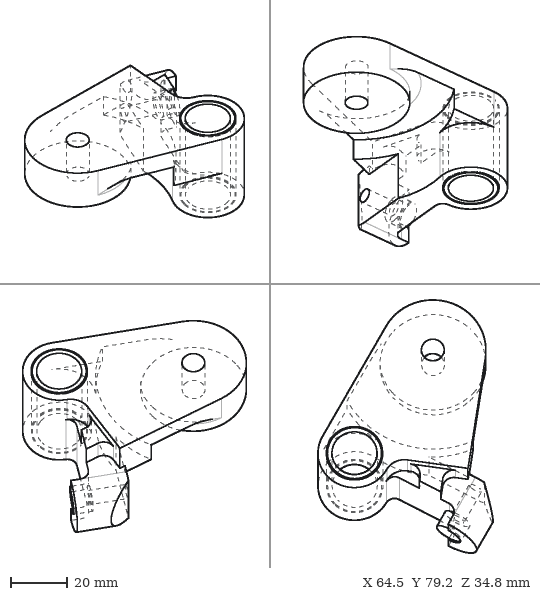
import cadquery as cq
import math

total_height = 34.8
plate_thickness = 15.45
plate_bottom = total_height - plate_thickness

hub_radius = 13.0
bushing_outer_radius = 10.0
bushing_inner_radius = 8.0
bushing_chamfer = 0.4
boss_radius = 18.85
boss_hole_radius = 4.0
boss_x = hub_radius - boss_radius
boss_y = -47.4

boss_distance = math.hypot(boss_x, boss_y)
hollow_radius = boss_distance - hub_radius

corner_x = -38.1
corner_y = -14.2
recess_ceiling = 27.7
boss_flare_radius = 3.95

lug_start = 8.5
lug_end = 16.6
lug_fillet = 3.95
lug_top = 31.0

head_radius = 11.6
head_x = -39.9
head_back_y = 3.95
arm_back_y = -3.0
lever_front_y = -16.15
head_chamfer = 7.9
arm_fillet = 3.4

plug_radius = 5.0
plug_back_y = 3.3
plug_hole_radius = 2.5

corner_to_boss = math.hypot(boss_x - corner_x, boss_y - corner_y)
edge_angle = (math.atan2(boss_y - corner_y, boss_x - corner_x)
              - math.asin(boss_radius / corner_to_boss))
left_dir = (math.cos(edge_angle), math.sin(edge_angle))
upper_dir = (-left_dir[1], left_dir[0])


def plate_point(along, outward):
    """Point given by distances along and outward from the upper plate edge."""
    return (
        corner_x + along * upper_dir[0] - outward * left_dir[0],
        corner_y + along * upper_dir[1] - outward * left_dir[1],
    )


def arc_point(center, radius, angle):
    return (center[0] + radius * math.cos(angle), center[1] + radius * math.sin(angle))


def make_plate():
    """Plate from hub to boss, with a concave blend between hub and upper edge."""
    left_edge_length = math.sqrt(corner_to_boss ** 2 - boss_radius ** 2)
    boss_tangent = plate_point(0, -left_edge_length)
    blend_radius = ((hub_radius + corner_x) * left_dir[0] + corner_y * left_dir[1]) / (1 - left_dir[0])
    blend_center = (-hub_radius - blend_radius, 0)
    blend_start = arc_point(blend_center, blend_radius, edge_angle)
    blend_middle = arc_point(blend_center, blend_radius, edge_angle / 2)
    return (
        cq.Workplane("XY", origin=(0, 0, plate_bottom))
        .moveTo(corner_x, corner_y)
        .lineTo(*blend_start)
        .threePointArc(blend_middle, (-hub_radius, 0))
        .threePointArc((0, hub_radius), (hub_radius, 0))
        .lineTo(hub_radius, boss_y)
        .threePointArc((boss_x, boss_y - boss_radius), boss_tangent)
        .close()
        .extrude(plate_thickness)
    )


def make_recess():
    """Ring-shaped space under the plate, out to the hollow, leaving the boss with a flared root."""
    flare_edge = boss_radius + boss_flare_radius
    flare_start = recess_ceiling - boss_flare_radius
    flare_offset = boss_flare_radius * (1 - math.sqrt(0.5))
    return (
        cq.Workplane("XZ")
        .moveTo(boss_radius, 0)
        .lineTo(boss_radius, flare_start)
        .threePointArc((boss_radius + flare_offset, recess_ceiling - flare_offset),
                       (flare_edge, recess_ceiling))
        .lineTo(hollow_radius, recess_ceiling)
        .lineTo(hollow_radius, 0)
        .close()
        .revolve(360, (0, 0), (0, 1))
        .translate((boss_x, boss_y, 0))
    )


def make_lug():
    """Lug square to the upper plate edge, filleted into it and flush with the arm back."""
    reach = corner_to_boss
    diagonal = lug_fillet * (1 - math.sqrt(0.5))
    lug = (
        cq.Workplane("XY")
        .moveTo(*plate_point(lug_start - lug_fillet, 0))
        .threePointArc(plate_point(lug_start - diagonal, diagonal), plate_point(lug_start, lug_fillet))
        .lineTo(*plate_point(lug_start, reach))
        .lineTo(*plate_point(lug_end, reach))
        .lineTo(*plate_point(lug_end, lug_fillet))
        .threePointArc(plate_point(lug_end + diagonal, diagonal), plate_point(lug_end + lug_fillet, 0))
        .lineTo(*plate_point(lug_end + lug_fillet, -lug_fillet))
        .lineTo(*plate_point(lug_start - lug_fillet, -lug_fillet))
        .close()
        .extrude(lug_top)
    )
    behind_arm = (
        cq.Workplane("XY")
        .box(2 * reach, 2 * reach, lug_top, centered=(True, False, False))
        .translate((corner_x, arm_back_y, 0))
    )
    bottom = cq.Workplane("XY").box(4 * reach, 4 * reach, 2 * plate_bottom)
    return lug.cut(behind_arm).cut(bottom)


def make_lever():
    """Arm and head; the front hollows along a circle about the boss that touches the hub."""
    touch_point = (boss_x * hub_radius / boss_distance, boss_y * hub_radius / boss_distance)
    hollow_x = boss_x - math.sqrt(hollow_radius ** 2 - (lever_front_y - boss_y) ** 2)
    start_angle = math.atan2(lever_front_y - boss_y, hollow_x - boss_x)
    end_angle = math.atan2(-boss_y, -boss_x)
    hollow_middle = arc_point((boss_x, boss_y), hollow_radius, (start_angle + end_angle) / 2)

    fillet_y = arm_back_y + arm_fillet
    fillet_x = -math.sqrt((hub_radius + arm_fillet) ** 2 - fillet_y ** 2)
    hub_angle = math.atan2(-fillet_y, -fillet_x)
    hub_tangent = arc_point((fillet_x, fillet_y), arm_fillet, hub_angle)
    fillet_middle = arc_point((fillet_x, fillet_y), arm_fillet, (hub_angle - math.pi / 2) / 2)

    head_left = head_x - head_radius
    corner_offset = arm_fillet * (1 - math.sqrt(0.5))
    outline = (
        cq.Workplane("XY")
        .moveTo(head_left, head_back_y)
        .lineTo(head_left, lever_front_y + head_chamfer)
        .lineTo(head_left + head_chamfer, lever_front_y)
        .lineTo(hollow_x, lever_front_y)
        .threePointArc(hollow_middle, touch_point)
        .lineTo(0, 0)
        .lineTo(*hub_tangent)
        .threePointArc(fillet_middle, (fillet_x, arm_back_y))
        .lineTo(head_x + arm_fillet, arm_back_y)
        .threePointArc((head_x + corner_offset, arm_back_y + corner_offset),
                       (head_x, arm_back_y + arm_fillet))
        .lineTo(head_x, head_back_y)
        .close()
        .extrude(2 * head_radius)
    )
    side_profile = (
        cq.Workplane("XZ", origin=(0, head_back_y, 0))
        .moveTo(0, 0)
        .lineTo(head_x, 0)
        .threePointArc((head_left, head_radius), (head_x, 2 * head_radius))
        .lineTo(0, 2 * head_radius)
        .close()
        .extrude(head_back_y - lever_front_y + hub_radius)
    )
    return outline.intersect(side_profile)


def head_cylinder(radius, back_y, front_y):
    """Cylinder on the head axis between two Y positions."""
    return (
        cq.Workplane("XZ", origin=(head_x, back_y, head_radius))
        .circle(radius)
        .extrude(back_y - front_y)
    )


def make_bracket():
    hub = cq.Workplane("XY").circle(hub_radius).extrude(total_height)
    hub_bore = cq.Workplane("XY").circle(bushing_outer_radius).extrude(total_height)
    boss_hole = cq.Workplane("XY").center(boss_x, boss_y).circle(boss_hole_radius).extrude(total_height)
    plate = make_plate().cut(make_recess())
    body = plate.union(make_lug()).union(make_lever()).union(hub)
    plug_bore = head_cylinder(plug_radius, head_back_y, arm_back_y)
    plug_hole = head_cylinder(plug_hole_radius, arm_back_y, lever_front_y)
    return body.cut(hub_bore).cut(boss_hole).cut(plug_bore).cut(plug_hole)


def make_bushing():
    return (
        cq.Workplane("XY")
        .circle(bushing_outer_radius)
        .extrude(total_height)
        .faces(">Z or <Z")
        .chamfer(bushing_chamfer)
        .cut(cq.Workplane("XY").circle(bushing_inner_radius).extrude(total_height))
    )


bracket = make_bracket()
bushing = make_bushing()
plug = head_cylinder(plug_radius, plug_back_y, arm_back_y)

result = cq.Compound.makeCompound([bracket.val(), bushing.val(), plug.val()])